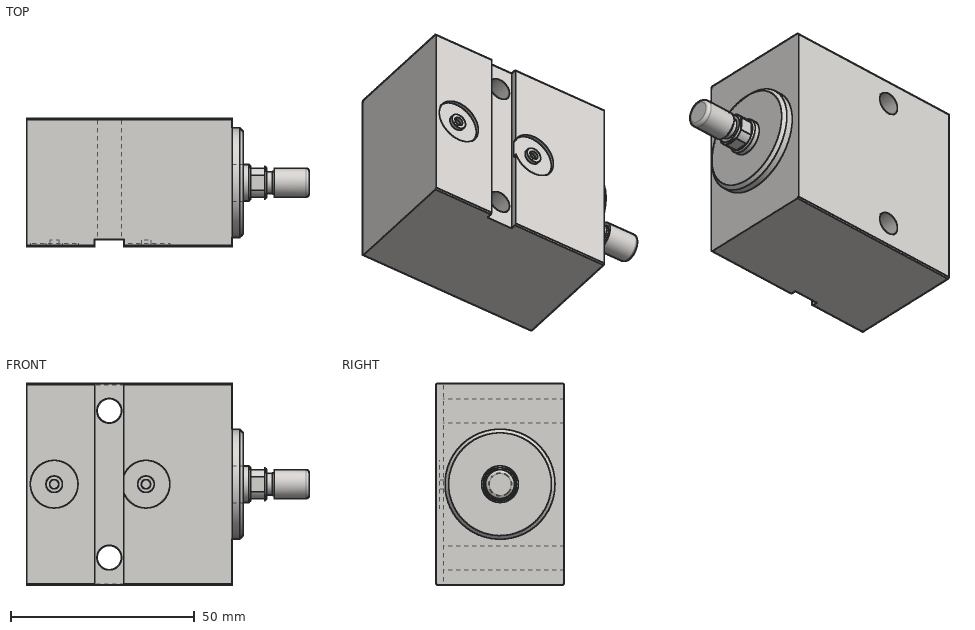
import cadquery as cq

length = 56.0
depth = 35.0
height = 55.0
edge_chamfer = 0.4
front_y = -depth / 2

slot_start = 18.5
slot_width = 8.0
slot_depth = 2.0
mounting_hole_diameter = 6.6
mounting_hole_spacing = 40.0
slot_center = slot_start + slot_width / 2

first_port_x = 7.5
port_spacing = 25.0
port_positions = [first_port_x, first_port_x + port_spacing]
port_recess_diameter = 13.0
port_recess_depth = 1.0
recess_floor_y = front_y + port_recess_depth
port_bore = 2.5
port_bore_depth = 1.0

ring_diameter = 4.5
ring_height = 1.0

boss_diameter = 30.0
boss_height = 3.0
boss_chamfer = 1.0

rod_radius = 5.0
rod_chamfer = 0.5
shoulder_end = 5.0
square_width = 8.0
square_end = 8.9
collar_radius = 4.5
collar_end = 9.4
collar_chamfer = 0.55
neck_radius = 3.0
neck_end = 11.4
neck_flare = 0.2
neck_flare_length = 0.5
thread_radius = 4.0
rod_end = 21.0
tip_radius = 1.0


def front_cylinder(x, z, y_start, diameter, cylinder_depth):
    """Cylinder running from y_start toward +Y."""
    plane = cq.Workplane("XZ", origin=(x, y_start, z))
    return plane.circle(diameter / 2).extrude(-cylinder_depth)


def make_housing():
    block = cq.Workplane("XY").box(length, depth, height).translate((length / 2, 0, 0))
    block = block.edges("|X").chamfer(edge_chamfer)

    boss = cq.Workplane("YZ", origin=(length, 0, 0)).circle(boss_diameter / 2).extrude(boss_height)
    boss = boss.faces(">X").chamfer(boss_chamfer)
    housing = block.union(boss)

    slot = cq.Workplane("XY").box(slot_width, 2 * slot_depth, height)
    housing = housing.cut(slot.translate((slot_center, front_y, 0)))

    for z in (-mounting_hole_spacing / 2, mounting_hole_spacing / 2):
        housing = housing.cut(front_cylinder(slot_center, z, front_y, mounting_hole_diameter, depth))

    for x in port_positions:
        housing = housing.cut(front_cylinder(x, 0, front_y, port_recess_diameter, port_recess_depth))
        housing = housing.cut(front_cylinder(x, 0, recess_floor_y, port_bore, port_bore_depth))

    rod_hole = cq.Workplane("YZ", origin=(length, 0, 0)).circle(rod_radius).extrude(boss_height)
    return housing.cut(rod_hole)


def make_port_ring(x):
    ring_y = recess_floor_y - ring_height
    ring = front_cylinder(x, 0, ring_y, ring_diameter, ring_height)
    return ring.cut(front_cylinder(x, 0, ring_y, port_bore, ring_height))


def make_piston_rod():
    profile = (
        cq.Workplane("XY")
        .lineTo(0, rod_radius)
        .lineTo(shoulder_end - rod_chamfer, rod_radius)
        .lineTo(shoulder_end, rod_radius - rod_chamfer)
        .lineTo(collar_end - collar_chamfer, collar_radius)
        .lineTo(collar_end, collar_radius - collar_chamfer)
        .lineTo(collar_end, neck_radius)
        .lineTo(neck_end - neck_flare_length, neck_radius)
        .lineTo(neck_end, neck_radius + neck_flare)
        .lineTo(neck_end, thread_radius)
        .lineTo(rod_end - tip_radius, thread_radius)
        .radiusArc((rod_end, thread_radius - tip_radius), tip_radius)
        .lineTo(rod_end, 0)
        .close()
    )
    rod = profile.revolve(360, (0, 0, 0), (1, 0, 0))

    flats_length = square_end - shoulder_end
    flats = (
        cq.Workplane("YZ", origin=(shoulder_end, 0, 0))
        .circle(rod_radius)
        .rect(square_width, square_width)
        .extrude(flats_length)
    )
    return rod.cut(flats).translate((length, 0, 0))


housing = make_housing()
piston_rod = make_piston_rod()
port_rings = [make_port_ring(x).val() for x in port_positions]

result = cq.Compound.makeCompound([housing.val(), piston_rod.val(), *port_rings])